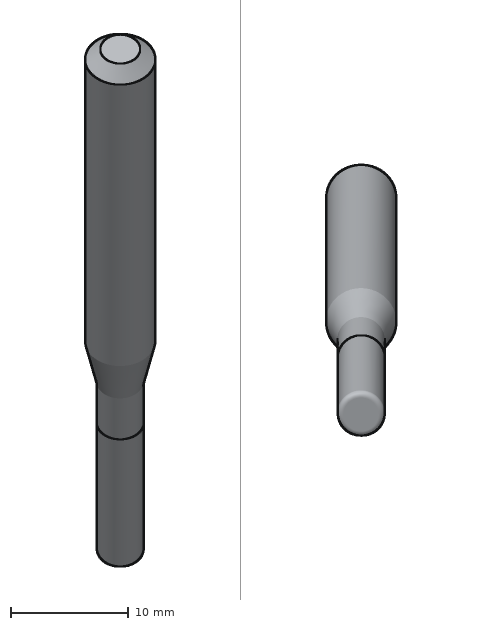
import cadquery as cq

total_length = 62.0
shank_diameter = 6.0
neck_diameter = 4.0
cutter_length = 16.0
neck_length = 5.0
taper_length = 5.0
top_chamfer_height = 1.25
top_chamfer_width = 1.3
tip_fillet = 0.5

shank_radius = shank_diameter / 2
neck_radius = neck_diameter / 2
taper_start = cutter_length + neck_length
taper_end = taper_start + taper_length


def make_cutter():
    """Lower cylindrical cutting section with a rounded tip edge."""
    cylinder = cq.Workplane("XY").circle(neck_radius).extrude(cutter_length)
    return cylinder.faces("<Z").fillet(tip_fillet)


def make_shank():
    """Neck, conical taper and chamfered shank, revolved about Z."""
    half_profile = [
        (0, cutter_length),
        (neck_radius, cutter_length),
        (neck_radius, taper_start),
        (shank_radius, taper_end),
        (shank_radius, total_length - top_chamfer_height),
        (shank_radius - top_chamfer_width, total_length),
        (0, total_length),
    ]
    return cq.Workplane("XZ").polyline(half_profile).close().revolve(360, (0, 0), (0, 1))


cutter = make_cutter()
shank = make_shank()

result = cq.Compound.makeCompound([cutter.val(), shank.val()])